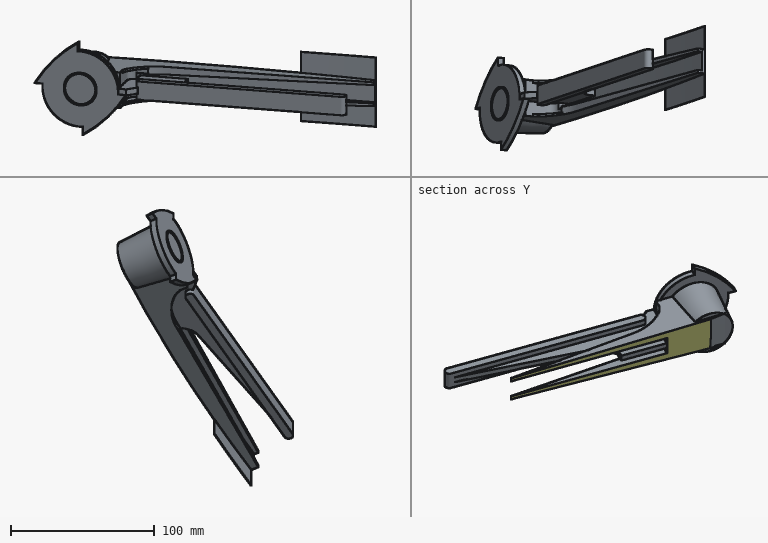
import cadquery as cq
import math

OVERLAP = 1.2

CAP_RADIUS = 27.3
CAP_THICKNESS = 4.7
TOOTH_REACH = 32.9
TOOTH_HEIGHT = 33.0
TOOTH_OFFSET = 1.9
GROOVE_OUTER_DIAMETER = 23.5
GROOVE_INNER_DIAMETER = 22.0
GROOVE_DEPTH = 0.5

HUB_BASE_RADIUS = 20.0
HUB_TOP_RADIUS = 17.3
HUB_TOP_Y = 36.1

HANDLE_LENGTH = 200.3
HANDLE_TOP_Y = 47.8
HANDLE_CREST_X = 173.2
HANDLE_CREST_RADIUS = 1468.8
HANDLE_TIP_BOTTOM_Y = 41.7
HANDLE_ROOT_HALF_WIDTH = 13.5
HANDLE_TIP_HALF_WIDTH = 8.6
NECK_X = 27.5
NECK_TOP_Y = 10.7
NECK_SHOULDER = (29.0, 14.2)
NECK_ARC_MIDDLE = (38.7, 23.5)
NECK_ARC_END = (55.5, 29.1)

CHANNEL_WIDTH = 13.3
CHANNEL_SKIN = 2.5
POCKET_END_X = 42.0
POCKET_WIDTH = 22.0
POCKET_FLOOR_Y = 28.0
POCKET_FILLET = 11.0 / 2
CHANNEL_START_X = NECK_X + POCKET_FILLET

PLATE_START_X = 146.2
PLATE_WIDTH = 50.1
PLATE_THICKNESS = 0.35

BAR_START_X = 38.0
BAR_END_X = 189.0
BAR_BOTTOM_Y = 7.0
BAR_THICKNESS = 6.3
BAR_TOP_Y = BAR_BOTTOM_Y + BAR_THICKNESS
BAR_START_FILLET = 2.8
WEB_THICKNESS = 4.5
WEB_TOE_X = 33.0
WEB_BOTTOM_Y = 0.5
WEB_ROOT_Y = 37.3
WEB_HEEL_X = 39.6
WEB_TOP = (67.4, 30.0)
WEB_ARC_MIDDLE = (71.5, 26.0)
WEB_ARC_END = (77.0, 23.8)
WEB_TIP_X = 183.0


def prism(outline, width):
    """Extrude an outline in XY symmetrically about z = 0."""
    return outline.close().extrude(width / 2, both=True)


def crest_y(x, depth=0.0):
    """Height of the arched handle top at x, or of a parallel arc below it."""
    radius = HANDLE_CREST_RADIUS - depth
    center_y = HANDLE_TOP_Y - HANDLE_CREST_RADIUS
    return center_y + math.sqrt(radius**2 - (x - HANDLE_CREST_X) ** 2)


def crest_point(x, depth=0.0):
    return (x, crest_y(x, depth))


def cylinder(radius, start_y, length):
    return cq.Workplane("XZ", origin=(0, start_y, 0)).circle(radius).extrude(-length)


def make_cap():
    edge = math.sqrt(CAP_RADIUS**2 - TOOTH_OFFSET**2)
    diagonal = CAP_RADIUS * math.sqrt(0.5)
    outline = (
        cq.Workplane("XZ")
        .moveTo(-TOOTH_REACH, TOOTH_OFFSET)
        .threePointArc((-diagonal, diagonal), (-TOOTH_OFFSET, TOOTH_HEIGHT))
        .lineTo(-TOOTH_OFFSET, edge)
        .threePointArc((diagonal, diagonal), (edge, -TOOTH_OFFSET))
        .lineTo(TOOTH_REACH, -TOOTH_OFFSET)
        .threePointArc((diagonal, -diagonal), (TOOTH_OFFSET, -TOOTH_HEIGHT))
        .lineTo(TOOTH_OFFSET, -edge)
        .threePointArc((-diagonal, -diagonal), (-edge, TOOTH_OFFSET))
        .close()
    )
    groove = cylinder(GROOVE_OUTER_DIAMETER / 2, 0, GROOVE_DEPTH).cut(
        cylinder(GROOVE_INNER_DIAMETER / 2, 0, GROOVE_DEPTH)
    )
    return outline.extrude(-CAP_THICKNESS).cut(groove)


def make_hub():
    return (
        cq.Workplane("XY")
        .moveTo(0, CAP_THICKNESS)
        .lineTo(HUB_BASE_RADIUS, CAP_THICKNESS)
        .lineTo(HUB_TOP_RADIUS, HUB_TOP_Y)
        .lineTo(0, HUB_TOP_Y)
        .close()
        .revolve(360, (0, 0, 0), (0, 1, 0))
    )


def make_handle():
    drop = HANDLE_TOP_Y - HUB_TOP_Y
    start_x = HANDLE_CREST_X - math.sqrt(2 * HANDLE_CREST_RADIUS * drop - drop**2)
    profile = (
        cq.Workplane("XY")
        .moveTo(0, CAP_THICKNESS)
        .lineTo(0, HUB_TOP_Y)
        .lineTo(start_x, HUB_TOP_Y)
        .threePointArc(crest_point(HANDLE_LENGTH / 2), crest_point(HANDLE_LENGTH))
        .lineTo(HANDLE_LENGTH, HANDLE_TIP_BOTTOM_Y)
        .lineTo(*NECK_ARC_END)
        .threePointArc(NECK_ARC_MIDDLE, NECK_SHOULDER)
        .lineTo(NECK_X, NECK_TOP_Y)
        .lineTo(NECK_X, CAP_THICKNESS)
    )
    taper = (HANDLE_ROOT_HALF_WIDTH - HANDLE_TIP_HALF_WIDTH) / HANDLE_LENGTH
    start_half_width = HANDLE_ROOT_HALF_WIDTH - taper * start_x
    plan = (
        cq.Workplane("XZ")
        .moveTo(start_x, -start_half_width)
        .lineTo(HANDLE_LENGTH, -HANDLE_TIP_HALF_WIDTH)
        .lineTo(HANDLE_LENGTH, HANDLE_TIP_HALF_WIDTH)
        .lineTo(start_x, start_half_width)
        .close()
        .extrude(-HANDLE_TOP_Y)
    )
    return prism(profile, 2 * start_half_width).intersect(plan)


def make_channel():
    outline = (
        cq.Workplane("XY")
        .moveTo(CHANNEL_START_X, CAP_THICKNESS)
        .lineTo(*crest_point(CHANNEL_START_X, CHANNEL_SKIN))
        .threePointArc(
            crest_point(HANDLE_LENGTH / 2, CHANNEL_SKIN),
            crest_point(HANDLE_LENGTH, CHANNEL_SKIN),
        )
        .lineTo(HANDLE_LENGTH, CAP_THICKNESS)
    )
    return prism(outline, CHANNEL_WIDTH)


def make_hinge_pocket():
    outline = (
        cq.Workplane("XY")
        .moveTo(NECK_X, CAP_THICKNESS)
        .lineTo(NECK_X, POCKET_FLOOR_Y - POCKET_FILLET)
        .radiusArc((CHANNEL_START_X, POCKET_FLOOR_Y), POCKET_FILLET)
        .lineTo(POCKET_END_X, POCKET_FLOOR_Y)
        .lineTo(POCKET_END_X, CAP_THICKNESS)
    )
    return prism(outline, POCKET_WIDTH)


def make_thumb_plate():
    middle_x = (PLATE_START_X + HANDLE_LENGTH) / 2
    outline = (
        cq.Workplane("XY")
        .moveTo(*crest_point(PLATE_START_X))
        .threePointArc(crest_point(middle_x), crest_point(HANDLE_LENGTH))
        .lineTo(*crest_point(HANDLE_LENGTH, PLATE_THICKNESS))
        .threePointArc(
            crest_point(middle_x, PLATE_THICKNESS),
            crest_point(PLATE_START_X, PLATE_THICKNESS),
        )
    )
    return prism(outline, PLATE_WIDTH)


def make_bar():
    end_radius = BAR_THICKNESS / 2
    end_center_x = BAR_END_X - end_radius
    outline = (
        cq.Workplane("XY")
        .moveTo(BAR_START_X, BAR_BOTTOM_Y)
        .lineTo(end_center_x, BAR_BOTTOM_Y)
        .threePointArc((BAR_END_X, BAR_BOTTOM_Y + end_radius), (end_center_x, BAR_TOP_Y))
        .lineTo(BAR_START_X, BAR_TOP_Y)
    )
    return prism(outline, CHANNEL_WIDTH).edges("|Z and <X").fillet(BAR_START_FILLET)


def make_web():
    root_x = NECK_X
    outline = (
        cq.Workplane("XY")
        .moveTo(root_x, WEB_BOTTOM_Y)
        .lineTo(WEB_TOE_X, WEB_BOTTOM_Y)
        .lineTo(WEB_HEEL_X, BAR_BOTTOM_Y)
        .lineTo(WEB_HEEL_X, BAR_TOP_Y - OVERLAP)
        .lineTo(WEB_TIP_X, BAR_TOP_Y - OVERLAP)
        .lineTo(WEB_TIP_X, BAR_TOP_Y)
        .lineTo(*WEB_ARC_END)
        .threePointArc(WEB_ARC_MIDDLE, WEB_TOP)
        .lineTo(WEB_TOP[0], WEB_ROOT_Y)
        .lineTo(root_x, WEB_ROOT_Y)
    )
    return prism(outline, WEB_THICKNESS)


handle = make_handle().cut(make_channel()).cut(make_hinge_pocket())
result = make_cap().union(make_hub()).union(handle).union(make_thumb_plate())
result = result.union(make_web()).union(make_bar())